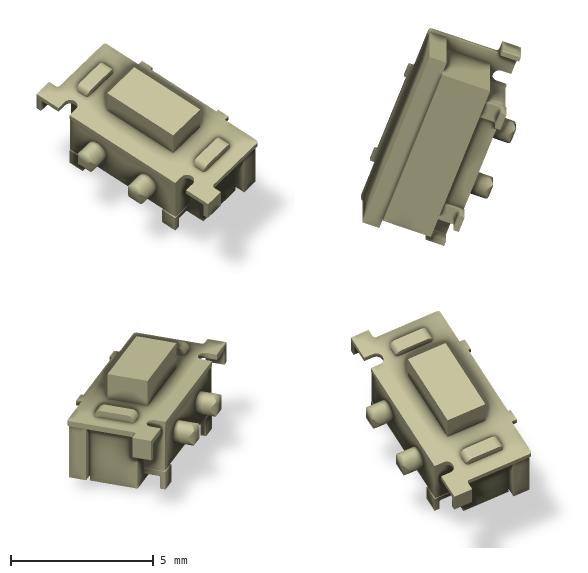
import cadquery as cq


overall_length = 7.8
overall_height = 3.7

sheet = 0.2
bend_radius = 0.05

plate_length = 7.0
plate_back = 3.3
plate_corner_radius = 0.1
step_back = 3.4
step_length = 3.92
tab_back = 3.5
lug_depth = 0.7
lug_drop = 0.8
notch_width = 0.5
notch_depth = 0.6
notch_corner_radius = 0.24
side_spacing = 5.305

button_length = 2.995
button_width = 1.5
button_height = 1.0
button_y = 1.75
rivet_width = notch_width
rivet_height = 0.28
rivet_end_radius = 0.25
rivet_corner_radius = 0.1

core_length = 6.005
core_front = 0.83
core_back = 2.61
core_bottom = -2.51
rear_length = 6.8
rear_back = 3.25
rear_bottom = -2.3
nose_length = 4.805
nose_front = 0.02
nose_bottom = -1.95

pin_diameter = 0.8
pin_spacing = 2.285
pin_z = -1.015
pin_tip_y = -0.75
pin_tip_radius = 0.25

leg_width = 0.6
leg_top = -2.0
leg_bottom = button_height - overall_height


def block(x_min, x_max, y_min, y_max, z_min, z_max):
    """Box given by its limits along each axis."""
    size = (x_max - x_min, y_max - y_min, z_max - z_min)
    return cq.Workplane("XY").box(*size, centered=False).translate((x_min, y_min, z_min))


def centred_block(length, y_min, y_max, z_min, z_max):
    """Box that is symmetric about X = 0."""
    return block(-length / 2, length / 2, y_min, y_max, z_min, z_max)


def both_sides(shape):
    """The shape together with its mirror image across X = 0."""
    return shape.union(shape.mirror("YZ"))


def make_body():
    core = centred_block(core_length, core_front, core_back, core_bottom, -sheet)
    rear = centred_block(rear_length, core_back, rear_back, rear_bottom, -sheet)
    nose = centred_block(nose_length, nose_front, core_front, nose_bottom, -sheet)
    return core.union(rear).union(nose)


def make_lug():
    """Bent strip at the +X end of the plate."""
    outer_x = overall_length / 2
    root_x = plate_length / 2
    strip = block(root_x, outer_x, 0, lug_depth, -lug_drop, 0)
    space = block(root_x, outer_x - sheet, 0, lug_depth, -lug_drop, -sheet)
    space = space.edges("|Y and >X and >Z").fillet(bend_radius)
    return strip.cut(space).edges("|Y and >X and <Z").fillet(bend_radius)


def make_plate():
    main = centred_block(plate_length, 0, plate_back, -sheet, 0)
    main = main.edges("|Z and >Y").fillet(plate_corner_radius)
    step = centred_block(step_length, plate_back, step_back, -sheet, 0)
    tab = block(button_length / 2, step_length / 2, step_back, tab_back, -sheet, 0)
    plate = main.union(step).union(both_sides(tab)).union(both_sides(make_lug()))

    for side in (-1, 1):
        corner_point = (side * plate_length / 2, lug_depth, -sheet / 2)
        corner = cq.selectors.NearestToPointSelector(corner_point)
        plate = plate.edges("|Z").edges(corner).fillet(plate_corner_radius)

    notch_left = (side_spacing - notch_width) / 2
    notch = block(notch_left, notch_left + notch_width, 0, notch_depth, -sheet, 0)
    notch = notch.edges("|Z and >Y").fillet(notch_corner_radius)
    return plate.cut(both_sides(notch))


def make_button():
    back = button_y + button_width / 2
    return centred_block(button_length, back - button_width, back, -sheet, button_height)


def make_rivet():
    """Raised bar with rounded ends, beside the button at +X."""
    bar = cq.Workplane("XY").box(rivet_width, button_width, rivet_height + sheet)
    rounded = bar.edges("|X and >Z").fillet(rivet_end_radius)
    outline = bar.edges("|Z").fillet(rivet_corner_radius)
    middle_z = (rivet_height - sheet) / 2
    return rounded.intersect(outline).translate((side_spacing / 2, button_y, middle_z))


def make_pin():
    """Round pin at +X whose tip is rounded along X and along Z."""
    length = core_front - pin_tip_y
    pin = cq.Workplane("XZ").circle(pin_diameter / 2).extrude(length)
    for direction in ("|X", "|Z"):
        limit = (
            cq.Workplane("XZ")
            .rect(pin_diameter, pin_diameter)
            .extrude(length)
            .faces("<Y")
            .edges(direction)
            .fillet(pin_tip_radius)
        )
        pin = pin.intersect(limit)
    return pin.translate((pin_spacing / 2, core_front, pin_z))


def make_leg():
    """L-shaped leg under the nose at +X, joined to the core."""
    outer_x = nose_length / 2
    inner_x = outer_x - leg_width
    strip = block(inner_x, outer_x, 0, core_front, leg_bottom, leg_top)
    space = block(inner_x, outer_x, sheet, core_front, leg_bottom, leg_top - sheet)
    space = space.edges("|X and <Y and >Z").fillet(bend_radius)
    return strip.cut(space)


result = (
    make_body()
    .union(make_plate())
    .union(make_button())
    .union(both_sides(make_rivet()))
    .union(both_sides(make_pin()))
    .union(both_sides(make_leg()))
)